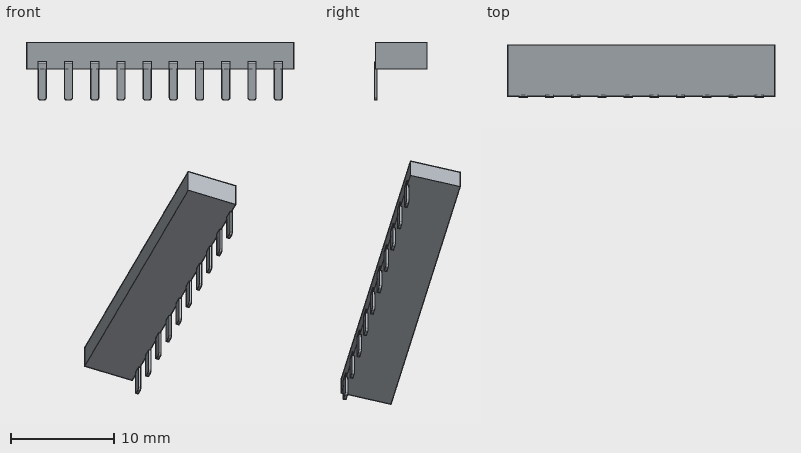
import cadquery as cq

body_length = 25.9
body_depth = 5.0
body_height = 2.6

lead_count = 10
lead_pitch = 2.54
lead_width = 0.8
lead_thickness = 0.25
lead_projection = 0.1
lead_drop = 3.0
lead_tip_radius = 0.25

bend_radius = lead_thickness
bend_start_height = 0.55

body_front = -body_depth / 2
lead_front = body_front - lead_projection
lead_back = lead_front + lead_thickness
bend_top = bend_start_height + bend_radius


def make_body():
    return cq.Workplane("XY").box(body_length, body_depth, body_height, centered=(True, True, False))


def make_lead():
    """One lead centred on X = 0, its outer bend rounded and its tip corners rounded."""
    lead = (
        cq.Workplane("YZ", origin=(-lead_width / 2, 0, 0))
        .moveTo(lead_front, -lead_drop)
        .lineTo(lead_front, bend_start_height)
        .radiusArc((lead_front + bend_radius, bend_top), bend_radius)
        .lineTo(lead_back, -lead_drop)
        .close()
        .extrude(lead_width)
    )
    return lead.edges("|Y and <Z").fillet(lead_tip_radius)


def lead_positions():
    first_x = -lead_pitch * (lead_count - 1) / 2
    return [first_x + lead_pitch * index for index in range(lead_count)]


result = make_body()
lead = make_lead()
for lead_x in lead_positions():
    result = result.union(lead.translate((lead_x, 0, 0)))